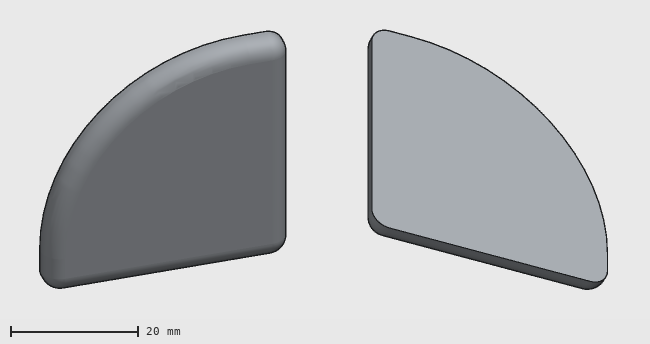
import cadquery as cq
import math

side = 40.0
thickness = 4.0
corner_radius = 3.0
straight_end = 6.7
edge_round = corner_radius

arc_radius = side - straight_end


def quarter_outline():
    """Quarter-disc outline in the YZ plane, with its right-angle corner at Y = side, Z = 0."""
    diagonal = math.sqrt(0.5)
    inset = corner_radius * (1 - diagonal)
    far = side - corner_radius
    arc_middle = (
        arc_radius * (1 - diagonal),
        straight_end + arc_radius * diagonal,
    )
    return (
        cq.Workplane("YZ")
        .moveTo(corner_radius, 0)
        .lineTo(far, 0)
        .threePointArc((side - inset, inset), (side, corner_radius))
        .lineTo(side, far)
        .threePointArc((side - inset, side - inset), (far, side))
        .lineTo(arc_radius, side)
        .threePointArc(arc_middle, (0, straight_end))
        .lineTo(0, corner_radius)
        .threePointArc((inset, inset), (corner_radius, 0))
        .close()
    )


def rounded_plate():
    """Flat plate with a sharp rim on the -X face and a rounded rim on the +X face."""
    plate = quarter_outline().extrude(thickness)
    return plate.faces(">X").edges().fillet(edge_round)


result = rounded_plate()